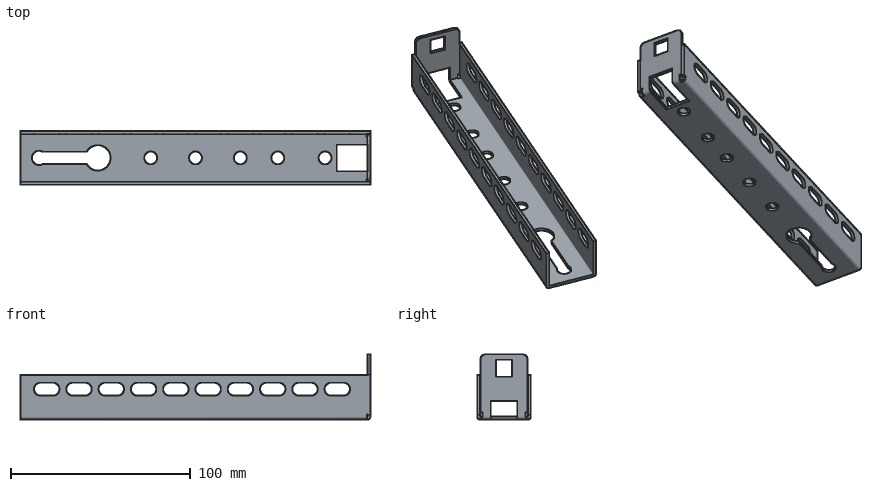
import cadquery as cq

length = 195.0
width = 30.0
wall_height = 25.0
thickness = 1.8
bend_radius = 1.8
inner_bend_radius = 0.4

plate_height = 36.5
plate_width = 26.3
plate_corner_radius = 3.0
foot_width = 24.0
foot_height = 3.9

notch_length = 2.0
notch_height = 2.7

square_hole_width = 8.8
square_hole_height = 9.4
square_hole_z = 28.7
window_width = 14.6
window_height = 10.3
window_length = 18.7

slot_count = 10
slot_length = 14.0
slot_height = 7.0
first_slot_x = 14.6
last_slot_x = 176.5
slot_pitch = (last_slot_x - first_slot_x) / (slot_count - 1)
slot_z = 17.0

hole_diameter = 7.0
hole_positions = [72.5, 97.5, 122.5, 143.3, 169.6]
keyhole_small_x = 10.3
keyhole_small_diameter = 7.8
keyhole_large_x = 43.0
keyhole_large_diameter = 14.0
keyhole_neck_width = 6.6


def make_channel():
    """U-shaped channel with rounded bends along both lower edges."""
    outer = (
        cq.Workplane("XY")
        .box(length, width, wall_height, centered=(False, True, False))
        .edges("|X and <Z")
        .fillet(bend_radius)
    )
    inner = (
        cq.Workplane("XY", origin=(0, 0, thickness))
        .box(length, width - 2 * thickness, wall_height, centered=(False, True, False))
        .edges("|X and <Z")
        .fillet(inner_bend_radius)
    )
    return outer.cut(inner)


def make_end_plate():
    """Upright plate with rounded upper corners."""
    return (
        cq.Workplane("XY", origin=(length - thickness, 0, 0))
        .box(thickness, plate_width, plate_height, centered=(False, True, False))
        .edges("|X and >Z")
        .fillet(plate_corner_radius)
    )


def make_fold_rounding():
    """Waste outside the rounded fold between the floor and the end plate."""
    return (
        cq.Workplane("XZ")
        .moveTo(length, 0)
        .lineTo(length, bend_radius)
        .radiusArc((length - bend_radius, 0), bend_radius)
        .close()
        .extrude(width, both=True)
    )


def make_corner_reliefs():
    """Gaps beside the foot of the plate, each with a notch through the bend of the wall."""

    def relief_box(start, y_outer, height):
        size_y = y_outer - foot_width / 2
        box = cq.Workplane("XY", origin=(start, foot_width / 2, 0))
        return box.box(length - start, size_y, height, centered=False)

    gap = relief_box(length - thickness - inner_bend_radius, width / 2 - thickness, foot_height)
    relief = gap.union(relief_box(length - notch_length, width / 2, notch_height))
    return relief.union(relief.mirror("XZ"))


def make_plate_openings():
    """Square hole high in the plate, and a window running from the plate into the floor."""
    square = cq.Workplane("XY").box(4 * thickness, square_hole_width, square_hole_height)
    square = square.translate((length, 0, square_hole_z))
    window = cq.Workplane("XY").box(
        window_length, window_width, window_height, centered=(False, True, False)
    )
    return square.union(window.translate((length - window_length, 0, 0)))


def make_wall_slots():
    """Row of slots through both side walls."""
    centres = [(first_slot_x + i * slot_pitch, slot_z) for i in range(slot_count)]
    return (
        cq.Workplane("XZ")
        .pushPoints(centres)
        .slot2D(slot_length, slot_height)
        .extrude(width, both=True)
    )


def make_floor_holes():
    """Keyhole and a line of round holes along the middle of the floor."""

    def round_hole(x, diameter):
        return cq.Workplane("XY").center(x, 0).circle(diameter / 2).extrude(2 * thickness)

    neck_length = keyhole_large_x - keyhole_small_x
    neck_x = (keyhole_large_x + keyhole_small_x) / 2
    neck = cq.Workplane("XY").center(neck_x, 0).rect(neck_length, keyhole_neck_width)
    holes = neck.extrude(2 * thickness)
    holes = holes.union(round_hole(keyhole_small_x, keyhole_small_diameter))
    holes = holes.union(round_hole(keyhole_large_x, keyhole_large_diameter))
    for x in hole_positions:
        holes = holes.union(round_hole(x, hole_diameter))
    return holes


result = (
    make_channel()
    .union(make_end_plate())
    .cut(make_fold_rounding())
    .cut(make_corner_reliefs())
    .cut(make_plate_openings())
    .cut(make_wall_slots())
    .cut(make_floor_holes())
)